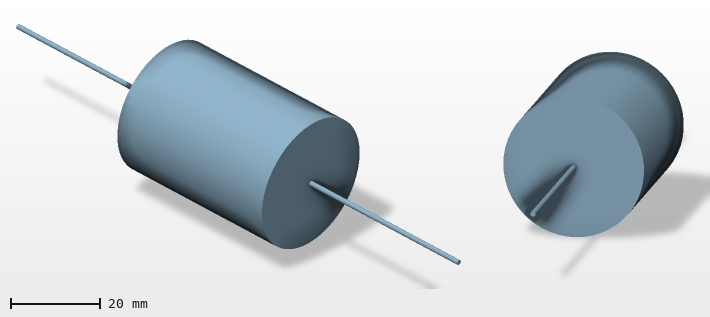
import cadquery as cq

overall_length = 134.0
housing_length = 44.0
housing_diameter = 32.0
wire_diameter = 1.2


def rod_along_x(diameter, length):
    """Solid round bar on the X axis, centred on the origin."""
    start_plane = cq.Workplane("YZ", origin=(-length / 2, 0, 0))
    return start_plane.circle(diameter / 2).extrude(length)


def make_wire():
    """Lead wire that runs through the housing and sticks out equally at both ends."""
    return rod_along_x(wire_diameter, overall_length)


def make_housing():
    """Cylindrical housing with a hole along its axis that fits the wire."""
    wire_hole = rod_along_x(wire_diameter, housing_length)
    return rod_along_x(housing_diameter, housing_length).cut(wire_hole)


housing = make_housing()
wire = make_wire()

result = cq.Compound.makeCompound([housing.val(), wire.val()])